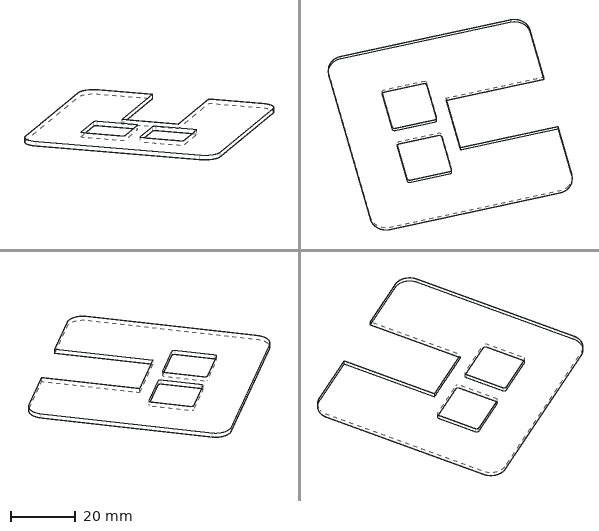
import cadquery as cq

width = 63.0
length = 64.0
thickness = 1.5
corner_radius = 5.0

slot_width = 18.2
slot_depth = 31.05

window_size = 14.15
window_pitch = 19.1
window_corner_radius = 0.8
window_edge_margin = 14.35


def make_plate():
    plate = cq.Workplane("XY").box(width, length, thickness)
    return plate.edges("|Z").fillet(corner_radius)


def make_slot():
    slot_center_y = (length - slot_depth) / 2
    return cq.Workplane("XY").box(slot_width, slot_depth, thickness).translate((0, slot_center_y, 0))


def make_window(center_x):
    center_y = -length / 2 + window_edge_margin + window_size / 2
    window = cq.Workplane("XY").box(window_size, window_size, thickness)
    return window.edges("|Z").fillet(window_corner_radius).translate((center_x, center_y, 0))


result = make_plate().cut(make_slot())
for side in (-1, 1):
    result = result.cut(make_window(side * window_pitch / 2))